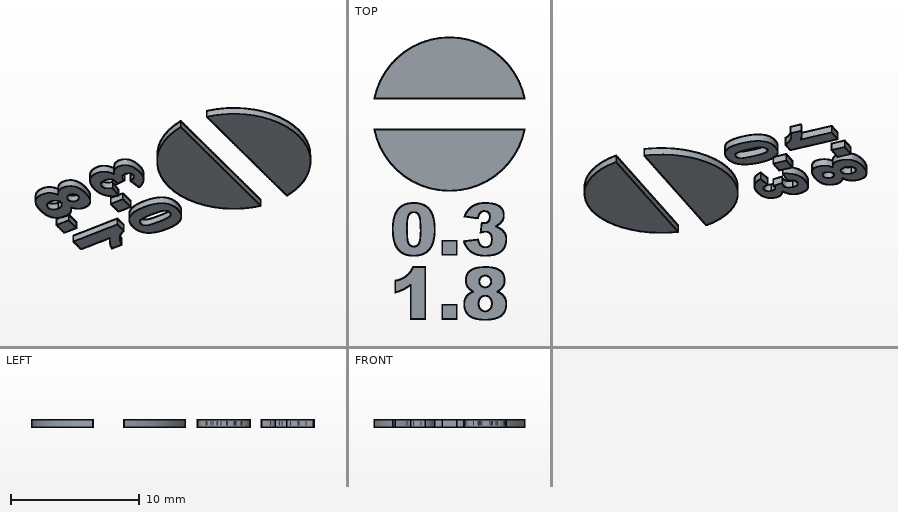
import cadquery as cq
import math

THICKNESS = 0.6

DISC_RADIUS = 6.0
BAND_WIDTH = 2.4

FIRST_BASELINE = -11.0
ROW_SPACING = 5.0
SECOND_BASELINE = FIRST_BASELINE - ROW_SPACING
DIGIT_OFFSET = 2.79
DIGIT_TOP = 4.07
OVERSHOOT = 0.07
DIGIT_HALF_WIDTH = 1.65
POINT_WIDTH = 1.17
POINT_HEIGHT = 1.13

CIRCLE_FULLNESS = 4 / 3 * (math.sqrt(2) - 1)
SOFT_FULLNESS = 2 / 3
SQUARE_FULLNESS = 0.78


def toward(start, corner, fraction):
    """Point that lies the given fraction of the way from start to corner."""
    return tuple(s + fraction * (c - s) for s, c in zip(start, corner))


def outline(start, steps, fullness=SOFT_FULLNESS):
    """Closed outline made of steps (corner, end).

    Each step bends from the last point to its end, touching the two lines that
    meet at the corner. A step with no corner is a straight line.
    """
    shape = cq.Workplane("XY").moveTo(*start)
    for corner, end in steps:
        if corner is None:
            shape = shape.lineTo(*end)
        else:
            first_handle = toward(start, corner, fullness)
            last_handle = toward(end, corner, fullness)
            shape = shape.bezier([start, first_handle, last_handle, end])
        start = end
    return shape.close()


def oval(middle_y, half_width, half_height, fullness):
    """Solid oval plate centred on the Y axis."""
    low = middle_y - half_height
    high = middle_y + half_height
    steps = [
        ((half_width, high), (0, high)),
        ((-half_width, high), (-half_width, middle_y)),
        ((-half_width, low), (0, low)),
        ((half_width, low), (half_width, middle_y)),
    ]
    return outline((half_width, middle_y), steps, fullness).extrude(THICKNESS)


def circle_segment(side):
    """Part of the disc on one side of the band: +1 above it, -1 below it."""
    chord_y = side * BAND_WIDTH / 2
    half_chord = math.sqrt(DISC_RADIUS**2 - chord_y**2)
    return (
        cq.Workplane("XY")
        .moveTo(-half_chord, chord_y)
        .threePointArc((0, side * DISC_RADIUS), (half_chord, chord_y))
        .close()
        .extrude(THICKNESS)
    )


def decimal_point():
    return (
        cq.Workplane("XY")
        .center(0, POINT_HEIGHT / 2)
        .rect(POINT_WIDTH, POINT_HEIGHT)
        .extrude(THICKNESS)
    )


def digit_zero():
    middle_y = (DIGIT_TOP - OVERSHOOT) / 2
    half_height = (DIGIT_TOP + OVERSHOOT) / 2
    counter_half_width = 0.53
    counter_half_height = 1.33
    ring = oval(middle_y, DIGIT_HALF_WIDTH, half_height, SOFT_FULLNESS)
    counter = oval(middle_y, counter_half_width, counter_half_height, SQUARE_FULLNESS)
    return ring.cut(counter)


def digit_one():
    stem_left = -0.25
    stem_right = 0.91
    flag_left = -1.45
    return (
        cq.Workplane("XY")
        .moveTo(stem_left, 0)
        .lineTo(stem_right, 0)
        .lineTo(stem_right, DIGIT_TOP)
        .lineTo(-0.05, DIGIT_TOP)
        .threePointArc((-0.57, 3.38), (flag_left, 3.0))
        .lineTo(flag_left, 2.07)
        .threePointArc((-0.75, 2.33), (stem_left, 2.66))
        .close()
        .extrude(THICKNESS)
    )


def digit_three():
    bottom = -OVERSHOOT
    right = DIGIT_HALF_WIDTH
    upper_right = 1.46
    upper_tip = (-1.63, 3.0)
    lower_tip = (-1.68, 1.08)
    outer_edge = [
        ((-1.3, bottom), (0, bottom)),
        ((right, bottom), (right, 1.28)),
        ((right, 1.9), (0.84, 2.23)),
        ((upper_right, 2.57), (upper_right, 3.08)),
        ((upper_right, DIGIT_TOP), (-0.03, DIGIT_TOP)),
        ((-1.2, DIGIT_TOP), upper_tip),
    ]
    upper_hollow = [
        (None, (-0.57, 2.85)),
        ((-0.47, 3.42), (-0.07, 3.42)),
        ((0.36, 3.42), (0.36, 3.0)),
        ((0.36, 2.5), (-0.08, 2.5)),
        (None, (-0.28, 2.53)),
    ]
    lower_hollow = [
        (None, (-0.37, 1.73)),
        ((-0.15, 1.81), (0, 1.81)),
        ((0.52, 1.81), (0.52, 1.23)),
        ((0.52, 0.61), (0.02, 0.61)),
        ((-0.45, 0.61), (-0.57, 1.21)),
    ]
    steps = outer_edge + upper_hollow + lower_hollow
    return outline(lower_tip, steps).extrude(THICKNESS)


def digit_eight():
    bottom = -OVERSHOOT
    lower_x = DIGIT_HALF_WIDTH
    lower_y = 1.19
    upper_x = 1.52
    upper_y = 3.0
    waist_x = 0.95
    waist_y = 2.14
    upper_corner_y = 2.45
    lower_corner_y = 1.85
    steps = [
        ((upper_x, upper_corner_y), (upper_x, upper_y)),
        ((upper_x, DIGIT_TOP), (0, DIGIT_TOP)),
        ((-upper_x, DIGIT_TOP), (-upper_x, upper_y)),
        ((-upper_x, upper_corner_y), (-waist_x, waist_y)),
        ((-lower_x, lower_corner_y), (-lower_x, lower_y)),
        ((-lower_x, bottom), (0, bottom)),
        ((lower_x, bottom), (lower_x, lower_y)),
        ((lower_x, lower_corner_y), (waist_x, waist_y)),
    ]
    upper_counter = oval(2.93, 0.46, 0.455, CIRCLE_FULLNESS)
    lower_counter = oval(1.21, 0.53, 0.605, CIRCLE_FULLNESS)
    body = outline((waist_x, waist_y), steps).extrude(THICKNESS)
    return body.cut(upper_counter).cut(lower_counter)


segments = [circle_segment(side) for side in (1, -1)]
points = [
    decimal_point().translate((0, baseline, 0))
    for baseline in (FIRST_BASELINE, SECOND_BASELINE)
]
zero = digit_zero().translate((-DIGIT_OFFSET, FIRST_BASELINE, 0))
three = digit_three().translate((DIGIT_OFFSET, FIRST_BASELINE, 0))
one = digit_one().translate((-DIGIT_OFFSET, SECOND_BASELINE, 0))
eight = digit_eight().translate((DIGIT_OFFSET, SECOND_BASELINE, 0))

bodies = [*segments, *points, zero, three, one, eight]
result = cq.Compound.makeCompound([body.val() for body in bodies])